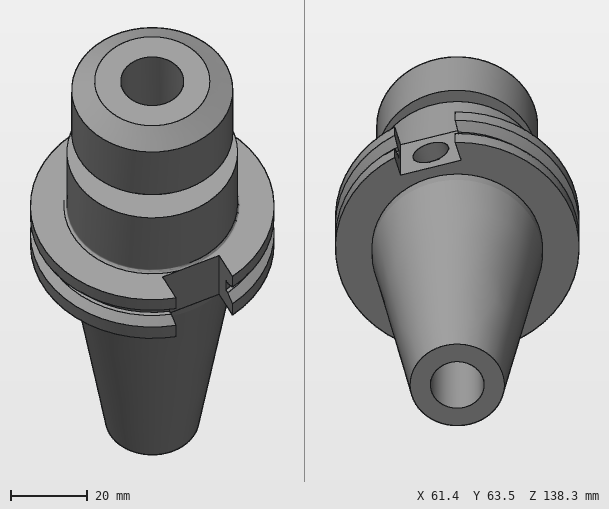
import cadquery as cq
import math


gauge_radius = 44.45 / 2
shank_length = 68.25
taper_per_length = 7 / 24
shank_tip_radius = gauge_radius - shank_length * taper_per_length / 2

flange_radius = 63.5 / 2
flange_bottom_z = 3.18
flange_top_z = 19.05
groove_mid_z = 11.25
groove_floor_radius = 28.05
groove_ledge_radius = 29.1
groove_floor_width = 3.8
groove_flank_angle = 30
groove_flank_height = (flange_radius - groove_ledge_radius) * math.tan(math.radians(groove_flank_angle))
groove_floor_bottom_z = groove_mid_z - groove_floor_width / 2
groove_floor_top_z = groove_mid_z + groove_floor_width / 2

body_radius = gauge_radius
body_top_z = 41.0
body_fillet = 0.8

neck_radius = 14.4
collar_radius = 16.0
collar_bottom_z = 44.2
collar_chamfer = 0.5
nut_radius = 21.0
nut_bottom_z = 49.0
nut_top_z = 70.0
nut_cone_height = 3.5
nut_face_radius = 15.0

collet_bore_radius = 8.2
shank_bore_radius = 7.0
bore_step_z = body_top_z

slot_width = 16.38
slot_floor_minus_x = 25.1
slot_floor_plus_x = 22.8

pin_hole_radius = 4.8
pin_hole_depth = 5.2
pin_hole_z = (flange_bottom_z + flange_top_z) / 2


def make_turned_body():
    """Revolve the outer half-profile, listed from the shank tip up to the nut face."""
    fillet_mid_offset = body_fillet * (1 - math.sqrt(0.5))
    profile = (
        cq.Workplane("XZ")
        .moveTo(0, -shank_length)
        .lineTo(shank_tip_radius, -shank_length)
        .lineTo(gauge_radius, 0)
        .lineTo(gauge_radius, flange_bottom_z)
        .lineTo(flange_radius, flange_bottom_z)
        .lineTo(flange_radius, groove_floor_bottom_z - groove_flank_height)
        .lineTo(groove_ledge_radius, groove_floor_bottom_z)
        .lineTo(groove_floor_radius, groove_floor_bottom_z)
        .lineTo(groove_floor_radius, groove_floor_top_z)
        .lineTo(groove_ledge_radius, groove_floor_top_z)
        .lineTo(flange_radius, groove_floor_top_z + groove_flank_height)
        .lineTo(flange_radius, flange_top_z)
        .lineTo(body_radius + body_fillet, flange_top_z)
        .threePointArc(
            (body_radius + fillet_mid_offset, flange_top_z + fillet_mid_offset),
            (body_radius, flange_top_z + body_fillet),
        )
        .lineTo(body_radius, body_top_z)
        .lineTo(neck_radius, body_top_z)
        .lineTo(neck_radius, collar_bottom_z)
        .lineTo(collar_radius - collar_chamfer, collar_bottom_z)
        .lineTo(collar_radius, collar_bottom_z + collar_chamfer)
        .lineTo(collar_radius, nut_bottom_z)
        .lineTo(nut_radius, nut_bottom_z)
        .lineTo(nut_radius, nut_top_z - nut_cone_height)
        .lineTo(nut_face_radius, nut_top_z)
        .lineTo(0, nut_top_z)
        .close()
    )
    return profile.revolve(360, (0, 0, 0), (0, 1, 0))


def make_bore():
    """Narrow bore up through the shank, opening to the collet bore at the step."""
    shank_bore = (
        cq.Workplane("XY", origin=(0, 0, -shank_length))
        .circle(shank_bore_radius)
        .extrude(shank_length + bore_step_z)
    )
    collet_bore = (
        cq.Workplane("XY", origin=(0, 0, bore_step_z))
        .circle(collet_bore_radius)
        .extrude(nut_top_z - bore_step_z)
    )
    return shank_bore.union(collet_bore)


def make_drive_slot(side, floor_distance):
    """Flat-floored slot through the full flange height; side is -1 or +1 along X."""
    slot_depth = flange_radius - floor_distance
    slot_height = flange_top_z + body_fillet - flange_bottom_z
    slot_center = (
        side * (floor_distance + slot_depth / 2),
        0,
        flange_bottom_z + slot_height / 2,
    )
    return cq.Workplane("XY").box(slot_depth, slot_width, slot_height).translate(slot_center)


def make_pin_hole():
    """Radial blind hole running inward from the -X slot floor."""
    return (
        cq.Workplane("YZ", origin=(-slot_floor_minus_x, 0, pin_hole_z))
        .circle(pin_hole_radius)
        .extrude(pin_hole_depth)
    )


result = (
    make_turned_body()
    .cut(make_bore())
    .cut(make_drive_slot(-1, slot_floor_minus_x))
    .cut(make_drive_slot(1, slot_floor_plus_x))
    .cut(make_pin_hole())
)